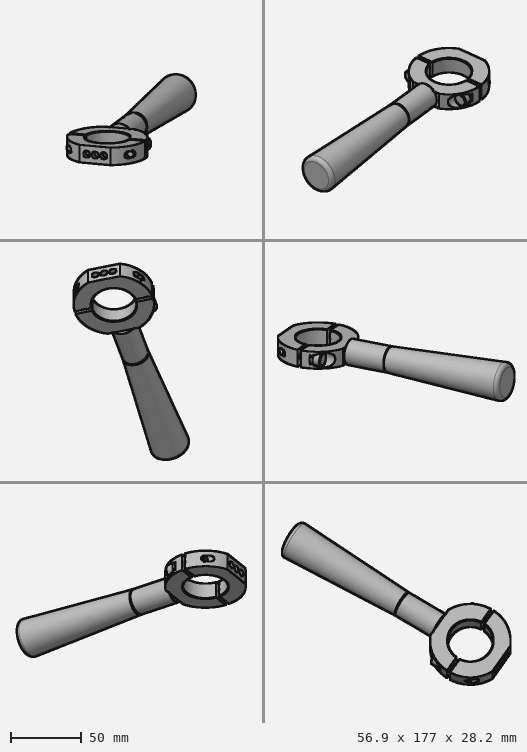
import cadquery as cq
import math

collar_radius = 28.5
collar_height = 13.0
bore_radius = 16.0
bore_chamfer = 0.5
flat_distance = 26.0
split_gap = 2.5

screw_offset = 22.5
screw_diameter = 6.0
screw_length = 25.0
head_diameter = 10.0
head_height = 5.8
head_chamfer = 0.5
tip_chamfer = 0.5
clearance_diameter = 6.5
counterbore_diameter = 10.8
seat_y = 7.8
tap_diameter = 5.0

washer_diameter = 10.0
washer_thickness = 2.3

drill_diameter = 5.0
drill_depth = 5.3
drill_spacing = 6.4
drill_point_angle = 118.0

stem_diameter = 19.1
overall_length = 177.0
grip_start_y = 57.2
grip_start_diameter = stem_diameter
grip_start_chamfer = 0.5
grip_end_diameter = 28.5
grip_end_round = 3.2

grip_end_y = overall_length - flat_distance
head_bottom_y = seat_y + washer_thickness
head_top_y = head_bottom_y + head_height
screw_tip_y = head_bottom_y - screw_length
screw_places = [-screw_offset, screw_offset]


def rod(diameter, y_start, y_end, x=0.0):
    """Cylinder parallel to Y between two Y positions, centred at height zero."""
    return cq.Workplane(cq.Solid.makeCylinder(
        diameter / 2, y_end - y_start, cq.Vector(x, y_start, 0), cq.Vector(0, 1, 0)))


def full_collar():
    """Uncut ring with two opposite flats and a chamfered bore."""
    disc = cq.Workplane("XY").circle(collar_radius).extrude(collar_height / 2, both=True)
    flats = cq.Workplane("XY").box(2 * collar_radius, 2 * flat_distance, collar_height)
    bore = cq.Workplane("XY").circle(bore_radius).extrude(collar_height, both=True)
    ring = disc.intersect(flats).cut(bore)
    bore_edges = cq.selectors.RadiusNthSelector(0)
    return ring.edges("%CIRCLE").edges(bore_edges).chamfer(bore_chamfer)


def half_collar(side):
    """Half of the ring on the +Y side (side = 1) or the -Y side (side = -1) of the gap."""
    depth = 2 * collar_radius
    keep = cq.Workplane("XY").box(2 * depth, depth, depth)
    return full_collar().intersect(keep.translate((0, side * (split_gap + depth) / 2, 0)))


def make_upper_clamp():
    """Half with clearance holes and counterbores that break out through its round side."""
    clamp = half_collar(1)
    for x in screw_places:
        clamp = clamp.cut(rod(clearance_diameter, 0, seat_y, x))
        clamp = clamp.cut(rod(counterbore_diameter, seat_y, collar_radius, x))
    return clamp


def drilled_hole(x):
    """Blind hole with a conical bottom, entering from the lower flat."""
    radius = drill_diameter / 2
    bottom_y = drill_depth - flat_distance
    point_length = radius / math.tan(math.radians(drill_point_angle / 2))
    point = cq.Solid.makeCone(
        radius, 0, point_length, cq.Vector(x, bottom_y, 0), cq.Vector(0, 1, 0))
    return rod(drill_diameter, -flat_distance, bottom_y, x).union(cq.Workplane(point))


def make_lower_clamp():
    """Half with tapped holes that fit the screw ends and three blind holes in its flat."""
    clamp = half_collar(-1)
    for x in screw_places:
        clamp = clamp.cut(rod(tap_diameter, -collar_radius, 0, x))
        clamp = clamp.cut(make_screw(x))
    for x in [-drill_spacing, 0, drill_spacing]:
        clamp = clamp.cut(drilled_hole(x))
    return clamp


def make_screw(x):
    """Cylinder-head screw whose chamfered tip points toward -Y."""
    shank = rod(screw_diameter, screw_tip_y, head_bottom_y, x).faces("<Y").chamfer(tip_chamfer)
    head = rod(head_diameter, head_bottom_y, head_top_y, x).faces(">Y").chamfer(head_chamfer)
    return shank.union(head)


def make_washer(x):
    """Ring on the counterbore seat below the screw head."""
    return rod(washer_diameter, seat_y, head_bottom_y, x).cut(
        rod(clearance_diameter, seat_y, head_bottom_y, x))


def make_stem():
    """Straight round stem from the upper flat to the grip."""
    return rod(stem_diameter, flat_distance, grip_start_y)


def make_grip():
    """Grip that widens toward its rounded free end."""
    taper = cq.Workplane(cq.Solid.makeCone(
        grip_start_diameter / 2, grip_end_diameter / 2, grip_end_y - grip_start_y,
        cq.Vector(0, grip_start_y, 0), cq.Vector(0, 1, 0)))
    grip = taper.faces("<Y").edges().chamfer(grip_start_chamfer)
    return grip.faces(">Y").edges().fillet(grip_end_round)


upper_clamp = make_upper_clamp()
lower_clamp = make_lower_clamp()
stem = make_stem()
grip = make_grip()
screws = [make_screw(x) for x in screw_places]
washers = [make_washer(x) for x in screw_places]

result = cq.Compound.makeCompound([
    upper_clamp.val(),
    lower_clamp.val(),
    stem.val(),
    grip.val(),
    *[screw.val() for screw in screws],
    *[washer.val() for washer in washers],
])